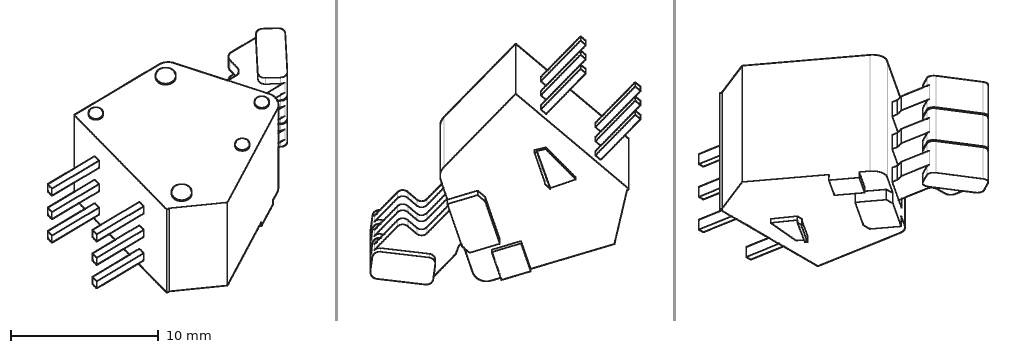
import cadquery as cq
import math


TOTAL_LENGTH = 20.45

SLOPE = math.radians(30)
HOUSING_HEIGHT = 9.0
HOUSING_WIDTH = 12.33
FRONT_WIDTH = 10.35
FRONT_STEP = 0.2
LEFT_WALL = 7.8
CORNER_RADIUS = 1.0
FLANK_TIP = (HOUSING_WIDTH, FRONT_STEP + (HOUSING_WIDTH - FRONT_WIDTH) / math.tan(SLOPE))
ROOF_LENGTH = HOUSING_WIDTH * math.cos(SLOPE) - (LEFT_WALL - FLANK_TIP[1]) * math.sin(SLOPE)

BOSS_HEIGHT = 0.12
SMALL_BOSS = 1.0
LARGE_BOSS = 1.4
BOSSES = [
    (6.89, 10.71, SMALL_BOSS),
    (9.0, 7.45, SMALL_BOSS),
    (0.84, 1.2, SMALL_BOSS),
    (1.12, 6.93, LARGE_BOSS),
    (9.81, 1.65, LARGE_BOSS),
]

POLE_COUNT = 3
POLE_PITCH = 2.53
FIRST_PIN_Z = 1.35
FIRST_LEVER_Z = 1.27
PIN_CENTERS_X = (2.53, 7.52)
PIN_WIDTH = 0.5
PIN_THICKNESS = 0.78
PIN_LENGTH = 4.0

ARM_THICKNESS = 1.1
ARM_LEFT = 2.6
ARM_RIGHT = 4.82
ARM_BOTTOM = 9.2
ARM_SHOULDER_BOTTOM = 11.05
ARM_SHOULDER_TOP = 11.59
ARM_HOOK_BOTTOM = 12.28
ARM_HOOK_RADIUS = 0.5

PAD_TILT = 35
PAD_LENGTH = 4.3
PAD_WIDTH = 2.0
PAD_RADIUS = 0.5
PAD_THICKNESS = 2.43
PAD_CENTER_X = 2.92

POCKET_START = 1.92
POCKET_DEPTH = 1.0

HEX_DROP = 0.8
HEX_START = 2.05
HEX_END = 5.89
HEX_WIDTH = 2.5
HEX_CLIP = 0.6
SQUARE_DROP = 0.43
SQUARE_LENGTH = 2.15
SQUARE_WIDTH = 2.08
SQUARE_INSET = 1.74
LATCH_DROP = 0.3
LATCH_RIDGE_DROP = 0.5
LATCH_HEEL = (3.7, 2.19)
RIDGE_TOE_Y = 2.05
RIDGE_BEND = (5.62, 3.3)
RIDGE_TIP_LEFT = (5.75, 3.41)
RIDGE_TIP_RIGHT = (6.28, 3.43)
LATCH_TOE = (4.13, 1.53)
LATCH_CORNER = (7.13, 1.8)


def roof_point(along, depth):
    """Point a distance along the roof from its left corner and a depth square to it."""
    x = along * math.cos(SLOPE) + depth * math.sin(SLOPE)
    y = LEFT_WALL + along * math.sin(SLOPE) - depth * math.cos(SLOPE)
    return (x, y)


def prism(points, bottom, height):
    return cq.Workplane("XY").workplane(offset=bottom).polyline(points).close().extrude(height)


def roof_prism(points, bottom, height):
    """Prism whose outline is given as (along, depth) pairs from the roof."""
    return prism([roof_point(along, depth) for along, depth in points], bottom, height)


def make_housing():
    outline = [
        (0, 0),
        (FRONT_WIDTH, 0),
        (FRONT_WIDTH, FRONT_STEP),
        FLANK_TIP,
        roof_point(ROOF_LENGTH, 0),
        roof_point(0, 0),
    ]
    block = prism(outline, 0, HOUSING_HEIGHT)
    for x, y in (roof_point(0, 0), roof_point(ROOF_LENGTH, 0)):
        corner = cq.selectors.NearestToPointSelector((x, y, HOUSING_HEIGHT / 2))
        block = block.edges("|Z").edges(corner).fillet(CORNER_RADIUS)
    return block


def make_bosses():
    bosses = cq.Workplane("XY")
    for x, y, diameter in BOSSES:
        disc = cq.Workplane("XY").workplane(offset=HOUSING_HEIGHT).center(x, y)
        bosses = bosses.add(disc.circle(diameter / 2).extrude(BOSS_HEIGHT))
    return bosses.combine()


def make_pin(x, z):
    pin = cq.Workplane("XZ").center(x, z).rect(PIN_WIDTH, PIN_THICKNESS)
    return pin.extrude(PIN_LENGTH)


def make_pocket(z):
    end = ARM_LEFT * math.cos(SLOPE) + (ARM_BOTTOM - LEFT_WALL) * math.sin(SLOPE)
    outline = [
        roof_point(POCKET_START, 0),
        roof_point(ARM_LEFT / math.cos(SLOPE), 0),
        (ARM_LEFT, ARM_BOTTOM),
        roof_point(end, POCKET_DEPTH),
        roof_point(POCKET_START, POCKET_DEPTH),
    ]
    return prism(outline, z - ARM_THICKNESS / 2, ARM_THICKNESS)


def make_lever(z):
    tilt = math.radians(PAD_TILT)
    half_length = PAD_LENGTH / 2 - PAD_RADIUS
    half_width = PAD_WIDTH / 2 - PAD_RADIUS
    reach_x = half_length * math.cos(tilt) + half_width * math.sin(tilt) + PAD_RADIUS
    reach_y = half_length * math.sin(tilt) + half_width * math.cos(tilt) + PAD_RADIUS
    pad_y = TOTAL_LENGTH - PIN_LENGTH - reach_y
    pad = (
        cq.Workplane("XY")
        .box(PAD_LENGTH, PAD_WIDTH, PAD_THICKNESS)
        .edges("|Z")
        .fillet(PAD_RADIUS)
        .rotate((0, 0, 0), (0, 0, 1), -PAD_TILT)
        .translate((PAD_CENTER_X, pad_y, z))
    )

    tangent_y = half_length * math.sin(tilt) - half_width * math.cos(tilt)
    hook_left = PAD_CENTER_X - reach_x
    hook_right = PAD_CENTER_X + reach_x
    outline = [
        (ARM_LEFT, ARM_BOTTOM),
        (ARM_RIGHT, ARM_BOTTOM),
        (ARM_RIGHT, ARM_SHOULDER_BOTTOM),
        (hook_right, ARM_SHOULDER_TOP),
        (hook_right, pad_y - tangent_y),
        (hook_left, pad_y + tangent_y),
        (hook_left, ARM_HOOK_BOTTOM),
        (ARM_LEFT, ARM_HOOK_BOTTOM),
    ]
    arm = prism(outline, z - ARM_THICKNESS / 2, ARM_THICKNESS)
    for x in (hook_left, ARM_LEFT):
        corner = cq.selectors.NearestToPointSelector((x, ARM_HOOK_BOTTOM, z))
        arm = arm.edges("|Z").edges(corner).fillet(ARM_HOOK_RADIUS)
    return arm.union(pad)


def make_hex_plate():
    clip_depth = HEX_CLIP * math.tan(SLOPE)
    outline = [
        (HEX_START, 0),
        (HEX_END - HEX_CLIP, 0),
        (HEX_END, clip_depth),
        (HEX_END, HEX_WIDTH),
        (HEX_START + HEX_CLIP, HEX_WIDTH),
        (HEX_START, HEX_WIDTH - clip_depth),
    ]
    return roof_prism(outline, -HEX_DROP, HEX_DROP)


def make_square_plate():
    start = ROOF_LENGTH - SQUARE_LENGTH
    outline = [
        (start, SQUARE_INSET),
        (ROOF_LENGTH, SQUARE_INSET),
        (ROOF_LENGTH, SQUARE_INSET + SQUARE_WIDTH),
        (start, SQUARE_INSET + SQUARE_WIDTH),
    ]
    return roof_prism(outline, -SQUARE_DROP, SQUARE_DROP)


def make_latch():
    ridge_back = [RIDGE_TIP_RIGHT, RIDGE_TIP_LEFT, RIDGE_BEND, LATCH_HEEL]
    plate = prism([LATCH_TOE, LATCH_CORNER] + ridge_back, -LATCH_DROP, LATCH_DROP)

    heel_x, heel_y = LATCH_HEEL
    toe_x, toe_y = LATCH_TOE
    ridge_toe_x = heel_x + (toe_x - heel_x) * (heel_y - RIDGE_TOE_Y) / (heel_y - toe_y)
    ridge = prism([(ridge_toe_x, RIDGE_TOE_Y)] + ridge_back, -LATCH_RIDGE_DROP, LATCH_RIDGE_DROP)
    return plate.union(ridge)


result = make_housing().union(make_bosses())
for plate in (make_hex_plate(), make_square_plate(), make_latch()):
    result = result.union(plate)

for pole in range(POLE_COUNT):
    pin_z = FIRST_PIN_Z + pole * POLE_PITCH
    lever_z = FIRST_LEVER_Z + pole * POLE_PITCH
    for pin_x in PIN_CENTERS_X:
        result = result.union(make_pin(pin_x, pin_z))
    result = result.cut(make_pocket(lever_z)).union(make_lever(lever_z))